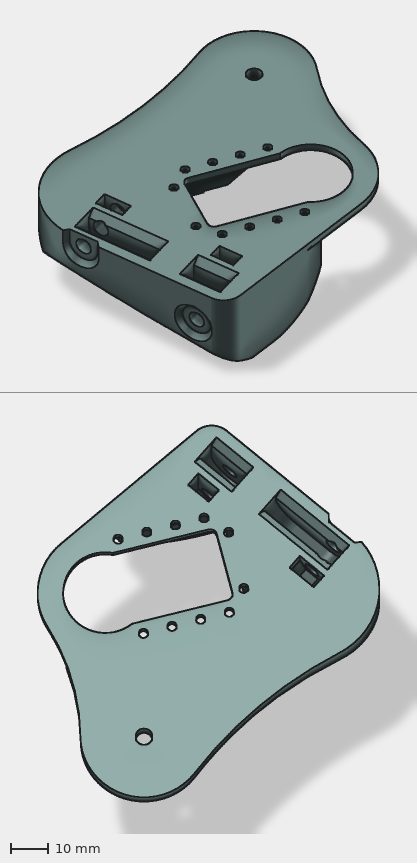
import cadquery as cq
import math


TIP_CENTER, TIP_RADIUS = (26.0, 79.3), 16.9
RIGHT_CENTER, RIGHT_RADIUS = (59.9, 55.5), 18.1
LEFT_RADIUS = 20.3
LEFT_CENTER = (LEFT_RADIUS, LEFT_RADIUS)
FRONT_RADIUS = 6.2
FRONT_CENTER = (64.5, FRONT_RADIUS)
LEFT_BLEND_RADIUS = 118.05
RIGHT_BLEND_RADIUS = 59.7

PLATE_THICKNESS = 4.0
THIN_THICKNESS = 2.2
BODY_DEPTH = 26.1
FIN_DEPTH = 12.6
REACH = 144.4

KEYHOLE_ANGLE = 54.8
BODY_ANGLE = -9.4
REAR_WALL = 49.9
BODY_RIGHT = 74.6
FIN_ROOT = 30.6
FIN_FLAT_END = 55.85
FIN_END = 64.5
FIN_END_DEPTH = 5.4

LEFT_SLOPE_START = -28.9
LEFT_SLOPE_POINTS = [(-14.5, -6.45), (4.6, -15.4), (20.2, -BODY_DEPTH)]
FRONT_ROUND_START, FRONT_ROUND_MID, FRONT_ROUND_END = (0, -8.0), (8.7, -18.5), (21.2, -BODY_DEPTH)
REAR_ROUND_START, REAR_ROUND_MID = (30.8, -BODY_DEPTH), (42.2, -22.05)
REAR_ROUND_END = (REAR_WALL, -FIN_DEPTH)

KEYHOLE_ACROSS = 17.0
KEYHOLE_RADIUS = 11.3
KEYHOLE_CIRCLE_ALONG = 79.8
KEYHOLE_WIDTH = 20.4
KEYHOLE_END_ALONG = 46.9
KEYHOLE_CORNER_RADIUS = 1.9
BOARD_SCREW_DIAMETER = 2.5
SCREW_ROW_SPACING = 27.2
SCREW_ROW_START = 49.1
SCREW_PITCH = 7.9
SCREWS_PER_ROW = 4
END_SCREW_SPACING = 16.2
END_SCREW_ALONG = 43.7
POCKET_LEFT = 0.7
POCKET_RIGHT = 33.7
POCKET_FRONT = 42.4
TIP_HOLE_DIAMETER = 4.5

LEFT_SCREW_X, LEFT_SCREW_Z = 22.7, -4.0
RIGHT_SCREW_X, RIGHT_SCREW_Z = 58.9, -12.1
SCREW_DIAMETER = 4.7
LEFT_SCREW_LENGTH = 21.2
SEAT_DIAMETER = 9.0
SEAT_MOUTH_DIAMETER = 11.9
SEAT_DEPTH = 1.6

SLOT_FRONT, SLOT_REAR = 3.2, 12.1
SLOT_CHAMFER = 2.1
LEFT_SLOT_START, LEFT_SLOT_END = 18.9, 42.85
LEFT_SLOT_DEPTH = 10.6
LEFT_SLOT_CORNER = 7.6
LEFT_SLOT_SMALL_CORNER = 5.5
RIGHT_SLOT_RADIUS = 6.45
NUT_FRONT, NUT_REAR = 14.0, 18.2
LEFT_NUT_CORNERS = 8.5
RIGHT_NUT_FLATS = 7.2


def toward(start, end, distance):
    """Point at a distance from start, in the direction of end."""
    length = math.dist(start, end)
    return tuple(a + (b - a) * distance / length for a, b in zip(start, end))


def blend_center(first, first_reach, second, second_reach):
    """Point at the given reaches from two centres, to the left when going from first to second."""
    gap = math.dist(first, second)
    along = (gap**2 + first_reach**2 - second_reach**2) / (2 * gap)
    aside = math.sqrt(first_reach**2 - along**2)
    dx, dy = (second[0] - first[0]) / gap, (second[1] - first[1]) / gap
    return (first[0] + dx * along - dy * aside, first[1] + dy * along + dx * aside)


def make_outline(depth):
    """Plate outline, extruded down from the top face."""
    left_blend = blend_center(
        LEFT_CENTER, LEFT_RADIUS + LEFT_BLEND_RADIUS, TIP_CENTER, TIP_RADIUS + LEFT_BLEND_RADIUS
    )
    right_blend = blend_center(
        TIP_CENTER, TIP_RADIUS + RIGHT_BLEND_RADIUS, RIGHT_CENTER, RIGHT_RADIUS + RIGHT_BLEND_RADIUS
    )
    run = math.dist(FRONT_CENTER, RIGHT_CENTER)
    center_line = math.atan2(RIGHT_CENTER[1] - FRONT_CENTER[1], RIGHT_CENTER[0] - FRONT_CENTER[0])
    tangent = center_line - math.acos((FRONT_RADIUS - RIGHT_RADIUS) / run)

    def at_angle(center, radius, angle):
        return (center[0] + radius * math.cos(angle), center[1] + radius * math.sin(angle))

    left_mid = toward(left_blend, ((LEFT_CENTER[0] + TIP_CENTER[0]) / 2,
                                   (LEFT_CENTER[1] + TIP_CENTER[1]) / 2), LEFT_BLEND_RADIUS)
    right_mid = toward(right_blend, ((TIP_CENTER[0] + RIGHT_CENTER[0]) / 2,
                                     (TIP_CENTER[1] + RIGHT_CENTER[1]) / 2), RIGHT_BLEND_RADIUS)
    return (
        cq.Workplane("XY")
        .moveTo(LEFT_CENTER[0], 0)
        .threePointArc((0, LEFT_CENTER[1]), toward(LEFT_CENTER, left_blend, LEFT_RADIUS))
        .threePointArc(left_mid, toward(TIP_CENTER, left_blend, TIP_RADIUS))
        .threePointArc((TIP_CENTER[0], TIP_CENTER[1] + TIP_RADIUS),
                       toward(TIP_CENTER, right_blend, TIP_RADIUS))
        .threePointArc(right_mid, toward(RIGHT_CENTER, right_blend, RIGHT_RADIUS))
        .threePointArc((RIGHT_CENTER[0] + RIGHT_RADIUS, RIGHT_CENTER[1]),
                       at_angle(RIGHT_CENTER, RIGHT_RADIUS, tangent))
        .lineTo(*at_angle(FRONT_CENTER, FRONT_RADIUS, tangent))
        .threePointArc(at_angle(FRONT_CENTER, FRONT_RADIUS, (tangent - math.pi / 2) / 2),
                       (FRONT_CENTER[0], 0))
        .close()
        .extrude(-depth)
    )


def upright_plane(angle):
    """Upright plane whose local x points along the given heading and local y points up."""
    heading = math.radians(angle)
    x_axis = (math.cos(heading), math.sin(heading), 0)
    return cq.Workplane(cq.Plane((0, 0, 0), x_axis, (x_axis[1], -x_axis[0], 0)))


def keyhole_plane():
    """Flat plane with local y along the keyhole."""
    heading = math.radians(KEYHOLE_ANGLE - 90)
    return cq.Workplane(cq.Plane((0, 0, 0), (math.cos(heading), math.sin(heading), 0), (0, 0, 1)))


def make_left_envelope():
    """Everything above the sloping left underside, which runs parallel to the keyhole."""
    return (
        upright_plane(KEYHOLE_ANGLE - 90)
        .moveTo(-REACH, 0)
        .lineTo(-REACH, -PLATE_THICKNESS)
        .lineTo(LEFT_SLOPE_START, -PLATE_THICKNESS)
        .spline(LEFT_SLOPE_POINTS, includeCurrent=True)
        .lineTo(REACH, -BODY_DEPTH)
        .lineTo(REACH, 0)
        .close()
        .extrude(REACH, both=True)
    )


def make_body_profile():
    """Deep front body with a rounded front underside and a rounded rear underside."""
    return (
        upright_plane(BODY_ANGLE + 90)
        .lineTo(*FRONT_ROUND_START)
        .threePointArc(FRONT_ROUND_MID, FRONT_ROUND_END)
        .lineTo(*REAR_ROUND_START)
        .threePointArc(REAR_ROUND_MID, REAR_ROUND_END)
        .lineTo(REAR_WALL, 0)
        .close()
        .extrude(REACH, both=True)
    )


def make_fin_profile():
    """Shallow fin to the left of the keyhole, with a sloping rear end."""
    profile = (
        upright_plane(BODY_ANGLE + 90)
        .moveTo(FIN_ROOT, 0)
        .lineTo(FIN_ROOT, -FIN_DEPTH)
        .lineTo(FIN_FLAT_END, -FIN_DEPTH)
        .lineTo(FIN_END, -FIN_END_DEPTH)
        .lineTo(FIN_END, 0)
        .close()
        .extrude(REACH, both=True)
    )
    return profile.intersect(left_of_pocket())


def left_of_pocket():
    """Block holding everything to the left of the board pocket."""
    return (
        keyhole_plane()
        .center(POCKET_LEFT - REACH / 2, 0)
        .rect(REACH, 2 * REACH)
        .extrude(-REACH)
    )


def make_shell():
    """Thin plate, thick left plate, fin and body, all within the outline."""
    pocket = (
        keyhole_plane()
        .moveTo(POCKET_LEFT, POCKET_FRONT)
        .lineTo(POCKET_RIGHT, POCKET_FRONT)
        .lineTo(POCKET_RIGHT, REACH)
        .lineTo(POCKET_LEFT, REACH)
        .close()
        .extrude(-REACH)
    )
    body_bounds = cq.Workplane("XY").box(BODY_RIGHT, REACH, REACH, centered=(False, True, True))
    body = make_body_profile().intersect(body_bounds).cut(pocket)
    full = make_outline(BODY_DEPTH).intersect(make_left_envelope())
    thick_plate = make_outline(PLATE_THICKNESS).intersect(left_of_pocket())
    return (
        make_outline(THIN_THICKNESS)
        .union(thick_plate)
        .union(full.intersect(body))
        .union(full.intersect(make_fin_profile()))
    )


def make_keyhole():
    """Keyhole opening, board screw holes and the hole at the tip."""
    length = KEYHOLE_CIRCLE_ALONG - KEYHOLE_END_ALONG
    opening = (
        keyhole_plane()
        .center(KEYHOLE_ACROSS, KEYHOLE_END_ALONG + length / 2)
        .rect(KEYHOLE_WIDTH, length)
        .extrude(-REACH)
        .edges("|Z")
        .fillet(KEYHOLE_CORNER_RADIUS)
    )
    circle = (
        keyhole_plane()
        .center(KEYHOLE_ACROSS, KEYHOLE_CIRCLE_ALONG)
        .circle(KEYHOLE_RADIUS)
        .extrude(-REACH)
    )
    places = []
    for side in (-1, 1):
        row = KEYHOLE_ACROSS + side * SCREW_ROW_SPACING / 2
        places += [(row, SCREW_ROW_START + i * SCREW_PITCH) for i in range(SCREWS_PER_ROW)]
        places.append((KEYHOLE_ACROSS + side * END_SCREW_SPACING / 2, END_SCREW_ALONG))
    screws = keyhole_plane().pushPoints(places).circle(BOARD_SCREW_DIAMETER / 2).extrude(-REACH)
    tip_hole = cq.Workplane("XY").center(*TIP_CENTER).circle(TIP_HOLE_DIAMETER / 2).extrude(-REACH)
    return opening.union(circle).union(screws).union(tip_hole)


def front_plane(x, y, z):
    """Plane facing the front, with local x along X and local y along Z."""
    return cq.Workplane("XZ", origin=(x, y, z))


def make_seat(x, z):
    """Tapered screw-head seat sunk into the front face."""
    return (
        front_plane(x, 0, z)
        .circle(SEAT_MOUTH_DIAMETER / 2)
        .workplane(offset=-SEAT_DEPTH)
        .circle(SEAT_DIAMETER / 2)
        .loft()
    )


def make_open_seat(x, z):
    """Tapered seat continued up through the top face."""
    channel = (
        cq.Workplane("XY", origin=(x, 0, z))
        .moveTo(-SEAT_MOUTH_DIAMETER / 2, 0)
        .lineTo(SEAT_MOUTH_DIAMETER / 2, 0)
        .lineTo(SEAT_DIAMETER / 2, SEAT_DEPTH)
        .lineTo(-SEAT_DIAMETER / 2, SEAT_DEPTH)
        .close()
        .extrude(-z)
    )
    return make_seat(x, z).union(channel)


def make_front_screws():
    """Blind left screw hole with a conical end, and right hole running right through."""
    radius = SCREW_DIAMETER / 2
    left_hole = (
        cq.Workplane("XY", origin=(LEFT_SCREW_X, 0, LEFT_SCREW_Z))
        .lineTo(radius, 0)
        .lineTo(radius, LEFT_SCREW_LENGTH)
        .lineTo(0, LEFT_SCREW_LENGTH + radius)
        .close()
        .revolve(360, (0, 0, 0), (0, 1, 0))
    )
    right_hole = front_plane(RIGHT_SCREW_X, 0, RIGHT_SCREW_Z).circle(radius).extrude(-REACH)
    seats = make_open_seat(LEFT_SCREW_X, LEFT_SCREW_Z).union(make_seat(RIGHT_SCREW_X, RIGHT_SCREW_Z))
    return left_hole.union(right_hole).union(seats)


def slot_section(depth):
    """Slot cross-section along X: straight walls with wide chamfers at the top opening."""
    return (
        cq.Workplane("YZ")
        .moveTo(SLOT_FRONT, 0)
        .lineTo(SLOT_REAR, 0)
        .lineTo(SLOT_REAR - SLOT_CHAMFER, -SLOT_CHAMFER)
        .lineTo(SLOT_REAR - SLOT_CHAMFER, -depth)
        .lineTo(SLOT_FRONT + SLOT_CHAMFER, -depth)
        .lineTo(SLOT_FRONT + SLOT_CHAMFER, -SLOT_CHAMFER)
        .close()
        .extrude(REACH)
    )


def make_slots():
    """Two chamfered slots in the top face with rounded floors."""
    length = LEFT_SLOT_END - LEFT_SLOT_START
    left = (
        front_plane((LEFT_SLOT_START + LEFT_SLOT_END) / 2, 0, -LEFT_SLOT_DEPTH / 2)
        .rect(length, LEFT_SLOT_DEPTH)
        .extrude(-SLOT_REAR)
    )
    left = left.edges("|Y").edges("<Z").edges(">X").fillet(LEFT_SLOT_CORNER)
    left = left.edges("|Y").edges("<Z").edges("<X").fillet(LEFT_SLOT_SMALL_CORNER)
    right = (
        front_plane(RIGHT_SCREW_X, 0, 0)
        .moveTo(-RIGHT_SLOT_RADIUS, 0)
        .lineTo(-RIGHT_SLOT_RADIUS, RIGHT_SCREW_Z)
        .threePointArc((0, RIGHT_SCREW_Z - RIGHT_SLOT_RADIUS), (RIGHT_SLOT_RADIUS, RIGHT_SCREW_Z))
        .lineTo(RIGHT_SLOT_RADIUS, 0)
        .close()
        .extrude(-SLOT_REAR)
    )
    left = left.intersect(slot_section(LEFT_SLOT_DEPTH))
    right = right.intersect(slot_section(RIGHT_SLOT_RADIUS - RIGHT_SCREW_Z))
    return left.union(right)


def make_nut_pocket(x, z, corners, turn):
    """Hexagonal nut pocket on a screw axis, open to the top."""
    nut = (
        front_plane(x, NUT_FRONT, z)
        .polygon(6, corners)
        .extrude(NUT_FRONT - NUT_REAR)
        .rotate((x, 0, z), (x, 1, z), turn)
    )
    width = corners * math.cos(math.radians(turn))
    chute = front_plane(x, NUT_FRONT, z / 2).rect(width, -z).extrude(NUT_FRONT - NUT_REAR)
    return nut.union(chute)


right_nut_corners = RIGHT_NUT_FLATS / math.cos(math.radians(30))
result = (
    make_shell()
    .cut(make_keyhole())
    .cut(make_front_screws())
    .cut(make_slots())
    .cut(make_nut_pocket(LEFT_SCREW_X, LEFT_SCREW_Z, LEFT_NUT_CORNERS, 0))
    .cut(make_nut_pocket(RIGHT_SCREW_X, RIGHT_SCREW_Z, right_nut_corners, 30))
)